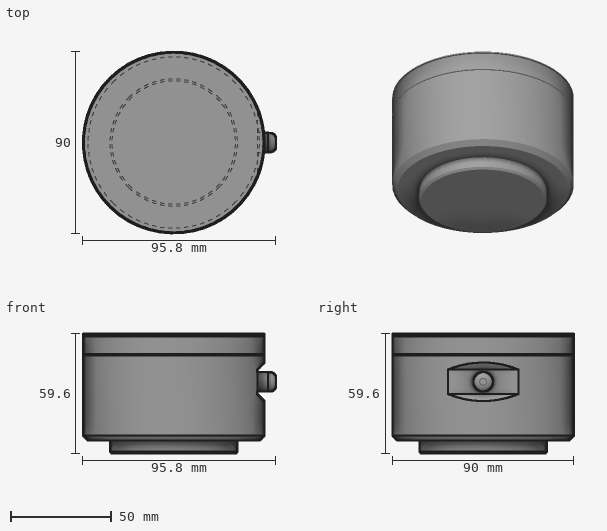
import cadquery as cq

body_radius = 45.0
total_height = 59.65
tip_x = 50.8

base_radius = 31.6
base_height = 6.5
base_chamfer = 1.0

body_bottom_chamfer = 2.5

lid_chamfer = 0.4
lid_thickness = 0.8
ring_height = 9.1
ring_chamfer = 0.25
groove_width = 0.5
groove_depth = 0.8

lower_groove_z = total_height - lid_thickness - ring_height - 2 * groove_width

notch_center_z = 35.65
notch_depth = 3.55
notch_floor_half_height = 6.0
notch_floor_x = body_radius - notch_depth

plug_radius = 4.9
plug_neck_x = 46.6
plug_nose_radius = 4.85
plug_nose_fillet = 3.1


def cylinder(radius, bottom_z, height):
    return cq.Workplane("XY").workplane(offset=bottom_z).circle(radius).extrude(height)


def make_base():
    return cylinder(base_radius, 0, base_height).faces("<Z").chamfer(base_chamfer)


def make_body():
    body = cylinder(body_radius, base_height, total_height - base_height)
    body = body.faces("<Z").chamfer(body_bottom_chamfer)
    return body.faces(">Z").chamfer(lid_chamfer)


def make_ring():
    ring_bottom_z = lower_groove_z + groove_width
    return cylinder(body_radius, ring_bottom_z, ring_height).edges().chamfer(ring_chamfer)


def make_ring_clearance():
    height = ring_height + 2 * groove_width
    outer = cylinder(body_radius + groove_depth, lower_groove_z, height)
    return outer.cut(cylinder(body_radius - groove_depth, lower_groove_z, height))


def make_notch():
    reach = 2 * notch_depth
    mouth_half_height = notch_floor_half_height + reach
    mouth_x = notch_floor_x + reach
    profile = [
        (notch_floor_x, notch_center_z - notch_floor_half_height),
        (mouth_x, notch_center_z - mouth_half_height),
        (mouth_x, notch_center_z + mouth_half_height),
        (notch_floor_x, notch_center_z + notch_floor_half_height),
    ]
    return cq.Workplane("XZ").polyline(profile).close().extrude(body_radius, both=True)


def make_plug():
    root_x = notch_floor_x - notch_depth
    start = cq.Workplane("YZ", origin=(root_x, 0, notch_center_z))
    shank = start.circle(plug_radius).extrude(plug_neck_x - root_x)
    nose = start.circle(plug_nose_radius).extrude(tip_x - root_x)
    nose = nose.faces(">X").edges().fillet(plug_nose_fillet)
    return shank.union(nose)


result = make_base().union(make_body())
result = result.cut(make_ring_clearance()).union(make_ring())
result = result.cut(make_notch()).union(make_plug())